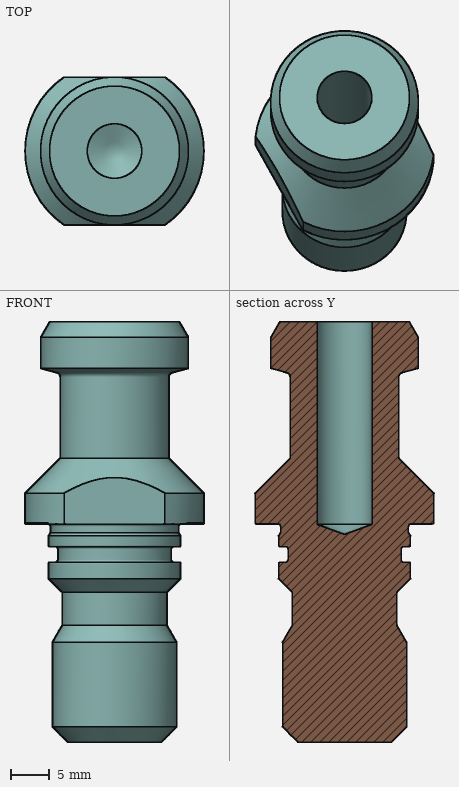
import cadquery as cq
import math

total_length = 54.0

seat_z = 28.0
collar_rim_top_z = seat_z + 4.0
head_under_z = seat_z + 20.0
head_rim_top_z = total_length - 2.0
ring_groove_z = seat_z - 3.88
pilot_under_z = seat_z - 7.0
relief_under_z = seat_z - 13.0
end_chamfer_top_z = 2.0

head_diameter = 19.0
neck_diameter = 14.0
collar_diameter = 23.0
undercut_diameter = 16.5
pilot_diameter = 17.0
ring_groove_diameter = 14.6
relief_diameter = 13.5
shank_diameter = 16.0
bore_diameter = 7.0

across_flats = 19.0

steep_cone_angle = math.radians(30.0)
head_under_angle = math.radians(15.0)

neck_fillet = 0.5
undercut_fillet = 0.3
ring_groove_fillet = 0.3
ring_groove_lip_fillet = 0.2
collar_edge_fillet = 0.2
undercut_length = 1.07
ring_groove_width = 1.96

bore_depth = 26.0
bore_tip_angle = math.radians(140.0)

head_radius = head_diameter / 2
neck_radius = neck_diameter / 2
collar_radius = collar_diameter / 2
undercut_radius = undercut_diameter / 2
pilot_radius = pilot_diameter / 2
ring_groove_radius = ring_groove_diameter / 2
relief_radius = relief_diameter / 2
shank_radius = shank_diameter / 2
bore_radius = bore_diameter / 2


def make_turned_body():
    """Revolve the outer outline, then round the inner corners and small rims."""
    pilot_cone_end_z = pilot_under_z - (pilot_radius - relief_radius)
    collar_cone_top_z = collar_rim_top_z + (collar_radius - neck_radius)
    end_radius = shank_radius - end_chamfer_top_z

    shank_top_z = relief_under_z - (shank_radius - relief_radius) / math.tan(steep_cone_angle)
    undercut_bottom_z = seat_z - undercut_length
    undercut_cone_height = (pilot_radius - undercut_radius) / math.tan(steep_cone_angle)
    pilot_top_z = undercut_bottom_z - undercut_cone_height
    head_top_radius = head_radius - (total_length - head_rim_top_z) * math.tan(steep_cone_angle)

    floor_bottom_z = ring_groove_z - ring_groove_width / 2
    floor_top_z = ring_groove_z + ring_groove_width / 2
    neck_top_z = head_under_z - (head_radius - neck_radius) * math.tan(head_under_angle)

    outline = [
        (0, 0),
        (end_radius, 0),
        (shank_radius, end_chamfer_top_z),
        (shank_radius, shank_top_z),
        (relief_radius, relief_under_z),
        (relief_radius, pilot_cone_end_z),
        (pilot_radius, pilot_under_z),
        (pilot_radius, floor_bottom_z),
        (ring_groove_radius, floor_bottom_z),
        (ring_groove_radius, floor_top_z),
        (pilot_radius, floor_top_z),
        (pilot_radius, pilot_top_z),
        (undercut_radius, undercut_bottom_z),
        (undercut_radius, seat_z),
        (collar_radius, seat_z),
        (collar_radius, collar_rim_top_z),
        (neck_radius, collar_cone_top_z),
        (neck_radius, neck_top_z),
        (head_radius, head_under_z),
        (head_radius, head_rim_top_z),
        (head_top_radius, total_length),
        (0, total_length),
    ]
    body = cq.Workplane("XZ").polyline(outline).close().revolve(360, (0, 0, 0), (0, 1, 0))

    body = round_ring(body, neck_radius, neck_top_z, neck_fillet)
    body = round_ring(body, undercut_radius, seat_z, undercut_fillet)
    body = round_ring(body, collar_radius, seat_z, collar_edge_fillet)
    for corner_z in (floor_bottom_z, floor_top_z):
        body = round_ring(body, ring_groove_radius, corner_z, ring_groove_fillet)
        body = round_ring(body, pilot_radius, corner_z, ring_groove_lip_fillet)
    return body


def round_ring(body, radius, height, fillet):
    """Fillet the circular edge of the given radius at the given height."""
    margin = 0.05
    size = 2 * (radius + margin)
    selector = cq.selectors.BoxSelector(
        (-size, -size, height - margin), (size, size, height + margin), boundingbox=True
    )
    rings = body.edges(selector).edges("%CIRCLE")
    return rings.filter(lambda edge: abs(edge.radius() - radius) < margin).fillet(fillet)


def cut_flats(body):
    """Cut the two wrench flats facing +Y and -Y on the collar."""
    flat_envelope = cq.Workplane("XY").box(
        collar_diameter, across_flats, total_length, centered=(True, True, False)
    )
    return body.intersect(flat_envelope)


def cut_bore(body):
    """Drill the blind axial bore from the head, ending in a drill-point cone."""
    bore_floor_z = total_length - bore_depth
    tip_z = bore_floor_z - bore_radius / math.tan(bore_tip_angle / 2)
    drill_outline = [
        (0, total_length),
        (bore_radius, total_length),
        (bore_radius, bore_floor_z),
        (0, tip_z),
    ]
    drill = cq.Workplane("XZ").polyline(drill_outline).close().revolve(360, (0, 0, 0), (0, 1, 0))
    return body.cut(drill)


result = cut_bore(cut_flats(make_turned_body()))